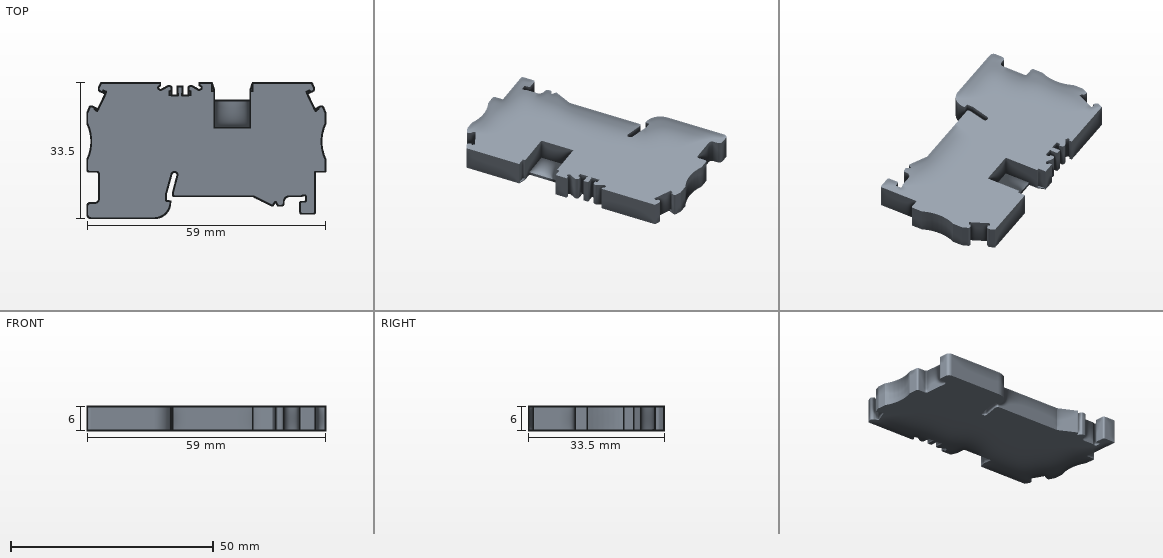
import cadquery as cq
import math

length = 59.0
height = 33.5
thickness = 6.0
mid_x = length / 2
web = 0.3
shelf_thickness = 0.75

rail_top = 11.5
base_y = 5.45
left_foot_top = 3.85
right_foot_bottom = 1.1

left_leg_x = 2.9
toe_radius = 4.0
toe_center_x = 16.4
toe_x = toe_center_x + toe_radius
toe_lip = 0.25
toe_lip_y = 4.25
toe_top = 4.35
slot_mouth_x = 19.55
slot_end_radius = 0.65
slot_side_x = 21.2

latch_x = 48.65
latch_bottom = 3.05
right_leg_x = 56.4
right_foot_x = 52.65
right_notch_x = 54.1

clip_top = (4.55, 30.8)
clip_bottom = (2.7, 26.95)
clip_undercut = 0.45

grip_center_y = 19.0
grip_chord = 9.0
grip_depth = 1.0
grip_radius = ((grip_chord / 2) ** 2 + grip_depth**2) / (2 * grip_depth)

marker_x = 22.97
marker_floor = 30.43
marker_crest = 32.6
tooth_half_width = 0.63
tooth_root_half_width = 0.45
tooth_root_top = 30.75
marker_wall = 2.07
marker_undercut_wall = 2.67
marker_undercut_top = 31.5

pocket_x = 35.9
pocket_width = 8.8
pocket_floor_y = 22.45
shelf_y = 29.15
mouth_width = 10.08
taper_bottom = 31.6
mouth_step_y = 31.45


def corner_arc(before, corner, after, radius):
    """Return start, middle and end of the arc that rounds a corner."""
    to_before = (cq.Vector(*before) - cq.Vector(*corner)).normalized()
    to_after = (cq.Vector(*after) - cq.Vector(*corner)).normalized()
    half_angle = to_before.getAngle(to_after) / 2
    setback = radius / math.tan(half_angle)
    center_distance = radius / math.sin(half_angle)
    inward = (to_before + to_after).normalized()
    tip = cq.Vector(*corner)
    start = tip + to_before * setback
    middle = tip + inward * (center_distance - radius)
    end = tip + to_after * setback
    return start.toTuple()[:2], middle.toTuple()[:2], end.toTuple()[:2]


def prism(corners, bottom=0.0):
    """Extrude a closed outline of (x, y) or (x, y, corner radius) up to the top face."""
    points = [corner[:2] for corner in corners]
    sketch = None
    for i, corner in enumerate(corners):
        if len(corner) == 3:
            after = points[(i + 1) % len(points)]
            path = corner_arc(points[i - 1], points[i], after, corner[2])
        else:
            path = (points[i],)
        if sketch is None:
            sketch = cq.Workplane("XY", origin=(0, 0, bottom)).moveTo(*path[0])
        else:
            sketch = sketch.lineTo(*path[0])
        if len(path) == 3:
            sketch = sketch.threePointArc(path[1], path[2])
    return sketch.close().extrude(thickness - bottom)


def mirrored(corners, axis_x):
    """Reflect an outline about the vertical line x = axis_x."""
    return [(2 * axis_x - corner[0],) + tuple(corner[1:]) for corner in corners]


def blank():
    """Outer profile, listed counterclockwise from the top left corner."""
    left_shoulder = [
        (3.45, height),
        (2.45, 31.45, 0.8),
        (3.6, 31.25),
        clip_top,
        clip_bottom,
        (0.8, 27.95, 0.55),
        (0, 26.0),
    ]
    left_foot = [
        (0, rail_top, 0.5),
        (left_leg_x, rail_top, 0.5),
        (left_leg_x, left_foot_top, 0.9),
        (0, left_foot_top, 0.9),
        (0, 0, 1.0),
        (toe_x, 0, toe_radius),
        (toe_x + toe_lip, toe_lip_y),
        (slot_mouth_x, toe_top),
        (slot_mouth_x, 6.0),
        (21.05, 11.45, slot_end_radius),
        (22.5, 11.4, slot_end_radius),
        (slot_side_x, 6.3),
        (slot_side_x, base_y, 0.4),
    ]
    latch = [
        (41.0, base_y),
        (45.85, latch_bottom, 0.15),
        (46.6, 4.15),
        (47.2, latch_bottom, 0.3),
        (latch_x, latch_bottom, 0.7),
        (latch_x, base_y, 1.4),
    ]
    right_foot = [
        (53.0, base_y),
        (right_notch_x, 5.9, 0.4),
        (right_notch_x, 4.15, 0.2),
        (right_foot_x, 4.1, 0.3),
        (right_foot_x, right_foot_bottom, 0.5),
        (right_leg_x, right_foot_bottom, 0.4),
        (right_leg_x, rail_top),
        (length, rail_top, 0.3),
    ]
    right_shoulder = mirrored(left_shoulder, mid_x)[::-1]
    return prism(left_shoulder + left_foot + latch + right_foot + right_shoulder)


def grips():
    reach = grip_radius - grip_depth
    centers = [(-reach, grip_center_y), (length + reach, grip_center_y)]
    return cq.Workplane("XY").pushPoints(centers).circle(grip_radius).extrude(thickness)


def clip_undercuts():
    """Deepen both ends of each clip notch above the skin."""
    step_x = clip_undercut * (clip_top[0] - clip_bottom[0]) / (clip_top[1] - clip_bottom[1])
    upper_end = (clip_top[0] + step_x, clip_top[1] + clip_undercut)
    lower_end = (clip_bottom[0] - step_x, clip_bottom[1] - clip_undercut)
    upper = [(3.7, 31.2), (4.05, 31.65), upper_end, clip_top]
    lower = [clip_bottom, lower_end, (1.75, 27.1), (1.9, 27.4)]
    cuts = cq.Workplane("XY")
    for corners in (upper, lower):
        cuts = cuts.add(prism(corners, web)).add(prism(mirrored(corners, mid_x), web))
    return cuts.combine()


def marker_groove():
    """Half of the groove beside the central tooth, then its mirror image."""
    wall_x = marker_x - marker_wall
    undercut_x = marker_x - marker_undercut_wall
    half = [
        (marker_x, height),
        (18.15, height),
        (18.15, 32.85),
        (17.3, 32.3, 0.35),
        (18.2, 31.7, 0.4),
        (20.1, 32.8, 0.8),
        (wall_x, marker_crest, 0.4),
        (wall_x, marker_floor),
        (marker_x - tooth_root_half_width, marker_floor),
        (marker_x - tooth_root_half_width, tooth_root_top),
        (marker_x - tooth_half_width, tooth_root_top),
        (marker_x - tooth_half_width, marker_crest),
        (marker_x, marker_crest),
    ]
    undercut = [
        (wall_x, marker_floor),
        (undercut_x, marker_floor),
        (undercut_x, marker_undercut_top, 0.3),
        (wall_x, marker_undercut_top),
    ]
    groove = prism(half).union(prism(mirrored(half, marker_x)))
    groove = groove.union(prism(undercut, web))
    return groove.union(prism(mirrored(undercut, marker_x), web))


def pocket():
    half_width = pocket_width / 2
    half_mouth = mouth_width / 2
    through = [
        (pocket_x - half_mouth, height),
        (pocket_x - half_width, taper_bottom),
        (pocket_x - half_width, shelf_y),
        (pocket_x + half_width, shelf_y),
        (pocket_x + half_width, taper_bottom),
        (pocket_x + half_mouth, height),
    ]
    above_shelf = [
        (pocket_x - half_width, shelf_y),
        (pocket_x - half_width, pocket_floor_y),
        (pocket_x + half_width, pocket_floor_y),
        (pocket_x + half_width, shelf_y),
    ]
    mouth = [
        (pocket_x - half_mouth, height),
        (pocket_x - half_mouth, mouth_step_y),
        (pocket_x + half_mouth, mouth_step_y),
        (pocket_x + half_mouth, height),
    ]
    opening = prism(through).union(prism(above_shelf, shelf_thickness))
    return opening.union(prism(mouth, web))


result = blank().cut(grips()).cut(clip_undercuts()).cut(marker_groove()).cut(pocket())